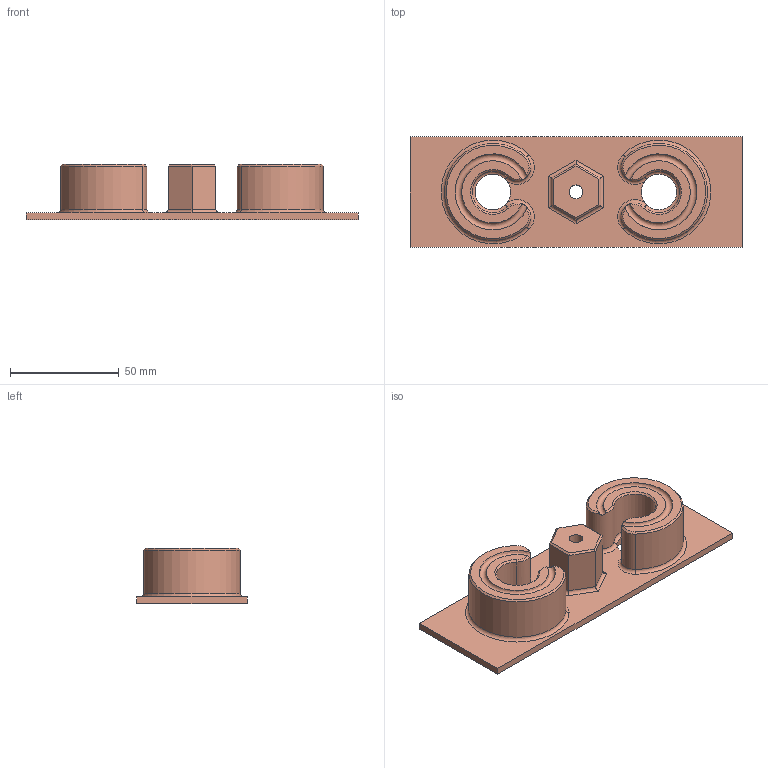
import cadquery as cq
import math

plate_length = 152.4
plate_width = 50.8
plate_thickness = 3.175

total_height = 25.4
boss_height = total_height - plate_thickness
root_fillet = 1.5875
top_chamfer = 0.79375

hex_sides = 6
hex_across_corners = 25.4
center_hole_diameter = 6.35

ring_offset = plate_length / 4
ring_outer_radius = 22.225
ring_inner_radius = 9.525
bore_diameter = 16.31
mouth_width = 10.16
groove_radius = 1.5875

ring_mid_radius = (ring_outer_radius + ring_inner_radius) / 2
tip_radius = (ring_outer_radius - ring_inner_radius) / 2
tip_center_y = mouth_width / 2 + tip_radius
tip_angle = math.asin(tip_center_y / ring_mid_radius)

pick_margin = 0.01


def polar(radius, angle):
    """XY point at a radius and an angle in radians."""
    return (radius * math.cos(angle), radius * math.sin(angle))


def make_plate():
    return cq.Workplane("XY").box(plate_length, plate_width, plate_thickness, centered=(True, True, False))


def raise_boss(outline):
    """Extrude an outline from the plate's top face and chamfer its top edges."""
    return outline.extrude(boss_height).faces(">Z").edges().chamfer(top_chamfer)


def make_hexagon():
    corner_radius = hex_across_corners / 2
    first_angle = math.pi / 2
    side_angle = 2 * math.pi / hex_sides
    corners = [polar(corner_radius, first_angle + side_angle * i) for i in range(hex_sides)]
    return raise_boss(cq.Workplane("XY", origin=(0, 0, plate_thickness)).polyline(corners).close())


def c_outline():
    """C-shaped outline centred on the origin, open toward +X."""
    center_x, center_y = polar(ring_mid_radius, tip_angle)
    reach_x, reach_y = polar(tip_radius, tip_angle - math.pi / 2)
    tip_x = center_x + reach_x
    tip_y = center_y + reach_y
    return (
        cq.Workplane("XY", origin=(0, 0, plate_thickness))
        .moveTo(*polar(ring_outer_radius, tip_angle))
        .threePointArc((-ring_outer_radius, 0), polar(ring_outer_radius, -tip_angle))
        .threePointArc((tip_x, -tip_y), polar(ring_inner_radius, -tip_angle))
        .threePointArc((-ring_inner_radius, 0), polar(ring_inner_radius, tip_angle))
        .threePointArc((tip_x, tip_y), polar(ring_outer_radius, tip_angle))
        .close()
    )


def make_c_boss():
    """C-shaped boss at the left position, with a half-round groove in its top face."""
    center = cq.Vector(0, 0, total_height)
    axis = cq.Vector(0, 0, 1)
    groove = cq.Solid.makeTorus(ring_mid_radius, groove_radius, center, axis)
    return raise_boss(c_outline()).cut(cq.Workplane(groove)).translate((-ring_offset, 0, 0))


def fillet_boss_roots(body):
    """Fillet every edge where a boss meets the plate's top face."""
    half_length = plate_length / 2 - pick_margin
    half_width = plate_width / 2 - pick_margin
    roots = cq.selectors.BoxSelector(
        (-half_length, -half_width, plate_thickness - pick_margin),
        (half_length, half_width, plate_thickness + pick_margin),
        boundingbox=True,
    )
    return body.edges(roots).fillet(root_fillet)


def through_hole(x, diameter):
    """Vertical cutter on the X axis, as tall as the whole part."""
    return cq.Workplane("XY").center(x, 0).circle(diameter / 2).extrude(total_height)


left_boss = make_c_boss()
right_boss = left_boss.mirror("YZ")
body = make_plate().union(make_hexagon()).union(left_boss).union(right_boss)
body = fillet_boss_roots(body)

result = body.cut(through_hole(0, center_hole_diameter))
for side in (-1, 1):
    result = result.cut(through_hole(side * ring_offset, bore_diameter))